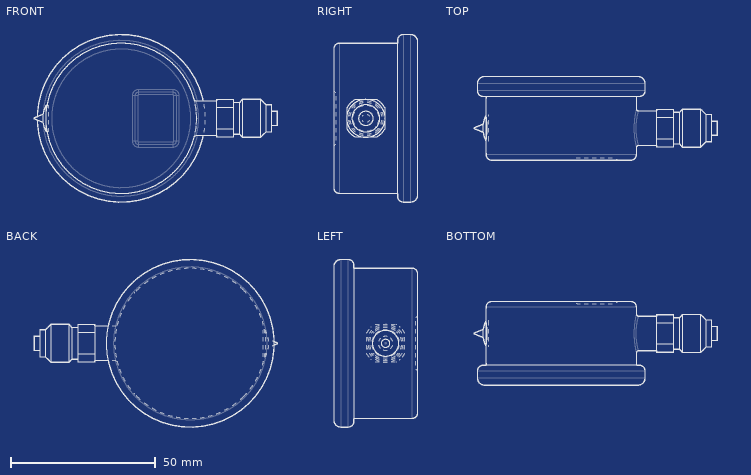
import cadquery as cq
import math


front_y = -11.1
total_depth = 29.0
back_y = front_y + total_depth
case_diameter = 52.0
case_edge_radius = 2.0
bezel_diameter = 58.0
bezel_width = 7.0
bezel_back_radius = 2.5
bezel_front_radius = 2.0

pocket_center_x = 11.9
pocket_width = 16.05
pocket_height = 20.0
pocket_depth = 0.8
pocket_floor_radius = 0.25
pocket_wall_width = 1.85
pocket_mouth_radius = pocket_floor_radius + pocket_wall_width

connector_end_x = 54.0
stem_diameter = 12.0
stem_root_radius = 0.7
square_start_x = 32.95
square_end_x = 38.8
square_across_flats = 13.0
square_corner_diameter = 15.0
neck_diameter = 11.0
neck_end_x = 40.95
collar_diameter = 13.2
collar_start_x = 41.9
collar_taper_x = 48.2
shoulder_diameter = 9.5
shoulder_start_x = 50.0
shoulder_end_x = 51.95
tip_diameter = 5.0

plug_diameter = 9.0
plug_seat_x = -25.1
plug_rim_x = -26.0
plug_crown_x = -27.1
spike_base_diameter = 2.9
spike_tip_diameter = 0.52
spike_tip_x = connector_end_x - 84.1


def cylinder_along_x(diameter, start_x, end_x):
    """Cylinder on the connector axis between two X positions."""
    return cq.Workplane("YZ", origin=(start_x, 0, 0)).circle(diameter / 2).extrude(end_x - start_x)


def revolve_around_x(profile):
    """Full turn of an XY profile around the connector axis."""
    return profile.close().revolve(360, (0, 0, 0), (1, 0, 0))


def disc_along_y(diameter, start_y, end_y):
    """Disc on the case axis between two Y positions."""
    return cq.Workplane("XZ", origin=(0, start_y, 0)).circle(diameter / 2).extrude(start_y - end_y)


def make_drum():
    """Round case with its bezel ring and the root of the connector stem."""
    drum = disc_along_y(case_diameter, front_y, back_y).faces("<Y").edges().fillet(case_edge_radius)
    drum = drum.union(cylinder_along_x(stem_diameter, 0, square_start_x))
    drum = drum.edges("not (%CIRCLE or %LINE)").fillet(stem_root_radius)
    bezel = disc_along_y(bezel_diameter, back_y - bezel_width, back_y)
    bezel = bezel.faces(">Y").edges().fillet(bezel_back_radius)
    bezel = bezel.faces("<Y").edges().fillet(bezel_front_radius)
    return drum.union(bezel)


def wall_profile(plane):
    """Half section of the pocket edge: a strip of floor, then an S-shaped wall of two equal arcs."""
    wall_angle = 2 * math.atan2(pocket_depth, pocket_wall_width)
    arc_radius = pocket_wall_width / (2 * math.sin(wall_angle))
    arc_mid_run = arc_radius * math.sin(wall_angle / 2)
    arc_mid_rise = arc_radius * (1 - math.cos(wall_angle / 2))
    floor_y = front_y + pocket_depth
    wall_mid = ((pocket_floor_radius + pocket_mouth_radius) / 2, front_y + pocket_depth / 2)
    return (
        plane.moveTo(0, front_y)
        .lineTo(0, floor_y)
        .lineTo(pocket_floor_radius, floor_y)
        .threePointArc((pocket_floor_radius + arc_mid_run, floor_y - arc_mid_rise), wall_mid)
        .threePointArc((pocket_mouth_radius - arc_mid_run, front_y + arc_mid_rise), (pocket_mouth_radius, front_y))
        .close()
    )


def make_pocket():
    """Shallow rectangular recess: a core block, four straight walls and four turned corners."""
    core_width = pocket_width - 2 * pocket_mouth_radius
    core_height = pocket_height - 2 * pocket_mouth_radius
    core = cq.Workplane("XY").box(core_width, pocket_depth, core_height)
    pocket = core.translate((0, front_y + pocket_depth / 2, 0))
    for turn in range(4):
        along, across = (core_height, core_width) if turn % 2 == 0 else (core_width, core_height)
        wall = wall_profile(cq.Workplane("XY")).extrude(along / 2, both=True)
        corner = wall_profile(cq.Workplane("XY")).revolve(90, (0, 0, 0), (0, 1, 0))
        corner = corner.translate((0, 0, -along / 2))
        side = wall.union(corner).translate((across / 2, 0, 0))
        pocket = pocket.union(side.rotate((0, 0, 0), (0, 1, 0), 90 * turn))
    return pocket.translate((pocket_center_x, 0, 0))


def make_connector_end():
    """Wrench square followed by the turned neck, collar, shoulder and tip."""
    length = square_end_x - square_start_x
    square = (
        cq.Workplane("YZ", origin=(square_start_x, 0, 0))
        .rect(square_across_flats, square_across_flats)
        .extrude(length)
        .intersect(cylinder_along_x(square_corner_diameter, square_start_x, square_end_x))
    )
    turned = revolve_around_x(
        cq.Workplane("XY")
        .moveTo(square_end_x, 0)
        .lineTo(square_end_x, neck_diameter / 2)
        .lineTo(neck_end_x, neck_diameter / 2)
        .lineTo(collar_start_x, collar_diameter / 2)
        .lineTo(collar_taper_x, collar_diameter / 2)
        .lineTo(shoulder_start_x, shoulder_diameter / 2)
        .lineTo(shoulder_end_x, shoulder_diameter / 2)
        .lineTo(shoulder_end_x, tip_diameter / 2)
        .lineTo(connector_end_x, tip_diameter / 2)
        .lineTo(connector_end_x, 0)
    )
    return square.union(turned)


def make_housing():
    """Case, bezel and connector as one solid, with the pocket and the plug seat cut in."""
    housing = make_drum().union(make_connector_end()).cut(make_pocket())
    plug_seat = cylinder_along_x(plug_diameter, -case_diameter / 2, plug_seat_x)
    return housing.cut(plug_seat)


def make_plug():
    """Round plug head with a shallow dome and a conical spike."""
    rim_radius = plug_diameter / 2
    dome_rise = plug_rim_x - plug_crown_x
    dome_radius = (rim_radius**2 + dome_rise**2) / (2 * dome_rise)

    def dome_x(radius):
        """X of the dome surface at a given distance from the plug axis."""
        return plug_crown_x + dome_radius - math.sqrt(dome_radius**2 - radius**2)

    base_radius = spike_base_diameter / 2
    mid_radius = (rim_radius + base_radius) / 2
    tip_radius = spike_tip_diameter / 2
    tip_center_x = spike_tip_x + tip_radius
    cone_length = dome_x(base_radius) - tip_center_x
    cone_reach = math.hypot(base_radius, cone_length)
    contact_angle = math.atan2(base_radius, cone_length) + math.acos(tip_radius / cone_reach)

    def tip_point(angle):
        """Point of the ball tip at an angle from the +X direction."""
        return (tip_center_x + tip_radius * math.cos(angle), tip_radius * math.sin(angle))

    return revolve_around_x(
        cq.Workplane("XY")
        .moveTo(plug_seat_x, 0)
        .lineTo(plug_seat_x, rim_radius)
        .lineTo(plug_rim_x, rim_radius)
        .threePointArc((dome_x(mid_radius), mid_radius), (dome_x(base_radius), base_radius))
        .lineTo(*tip_point(contact_angle))
        .threePointArc(tip_point((contact_angle + math.pi) / 2), (spike_tip_x, 0))
    )


housing = make_housing()
plug = make_plug()

result = cq.Compound.makeCompound([housing.val(), plug.val()])